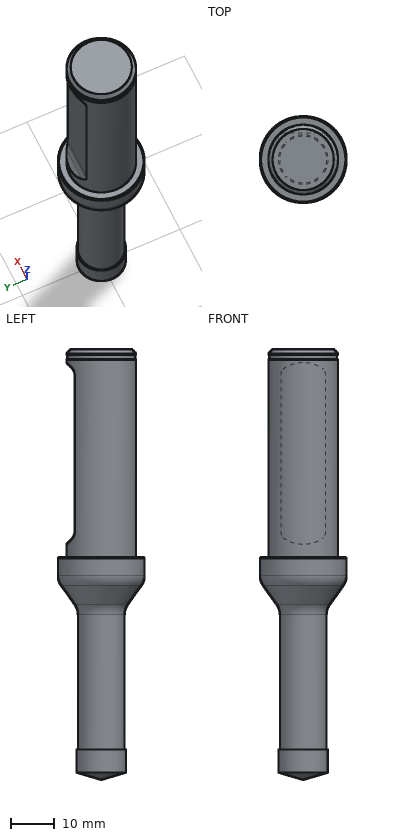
import cadquery as cq
import math

total_length = 99.0

shank_radius = 16.0 / 2
shank_chamfer = 1.0
groove_top = total_length - 1.2
groove_width = 1.3
groove_depth = 0.2

flat_depth = 1.9
flat_top = 95.9
flat_bottom = 54.2
flat_end_radius = 2.5

flange_radius = 20.0 / 2
flange_top = 51.2
flange_bottom = 46.9
flange_chamfer = 0.3

neck_radius = 10.8 / 2
neck_top = 38.0
neck_blend_radius = 4.0
flange_blend_radius = 3.8

head_radius = 11.4 / 2
head_top = 7.0
point_height = 1.7


def polar(center, radius, angle):
    """Point on a circle in the XZ plane; the angle is in radians from +X."""
    return (center[0] + radius * math.cos(angle), center[1] + radius * math.sin(angle))


def make_holder_blank():
    """Revolved holder: neck, flared blend, flange and shank."""
    lower_center = (neck_radius + neck_blend_radius, neck_top)
    upper_center = (flange_radius - flange_blend_radius, flange_bottom)
    center_dx = lower_center[0] - upper_center[0]
    center_dz = upper_center[1] - lower_center[1]
    radius_sum = neck_blend_radius + flange_blend_radius
    cone_angle = (math.asin(radius_sum / math.hypot(center_dx, center_dz))
                  - math.atan2(center_dx, center_dz))

    return (
        cq.Workplane("XZ")
        .moveTo(0, head_top)
        .lineTo(neck_radius, head_top)
        .lineTo(neck_radius, neck_top)
        .threePointArc(polar(lower_center, neck_blend_radius, math.pi - cone_angle / 2),
                       polar(lower_center, neck_blend_radius, math.pi - cone_angle))
        .lineTo(*polar(upper_center, flange_blend_radius, -cone_angle))
        .threePointArc(polar(upper_center, flange_blend_radius, -cone_angle / 2),
                       (flange_radius, flange_bottom))
        .lineTo(flange_radius, flange_top - flange_chamfer)
        .lineTo(flange_radius - flange_chamfer, flange_top)
        .lineTo(shank_radius, flange_top)
        .lineTo(shank_radius, groove_top - groove_width)
        .lineTo(shank_radius - groove_depth, groove_top - groove_width + groove_depth)
        .lineTo(shank_radius - groove_depth, groove_top - groove_depth)
        .lineTo(shank_radius, groove_top)
        .lineTo(shank_radius, total_length - shank_chamfer)
        .lineTo(shank_radius - shank_chamfer, total_length)
        .lineTo(0, total_length)
        .close()
        .revolve(360, (0, 0), (0, 1))
    )


def make_flat_cutter():
    """Prism that cuts the clamping flat, with 45 degree ends rounded into its floor."""
    floor_y = shank_radius - flat_depth
    return (
        cq.Workplane("YZ")
        .moveTo(shank_radius, flat_bottom)
        .lineTo(floor_y, flat_bottom + flat_depth)
        .lineTo(floor_y, flat_top - flat_depth)
        .lineTo(shank_radius, flat_top)
        .close()
        .extrude(shank_radius, both=True)
        .edges("|X and <Y")
        .fillet(flat_end_radius)
    )


def make_drill_head():
    """Cylindrical cutting head with a shallow conical point at Z = 0."""
    return (
        cq.Workplane("XZ")
        .moveTo(0, 0)
        .lineTo(head_radius, point_height)
        .lineTo(head_radius, head_top)
        .lineTo(0, head_top)
        .close()
        .revolve(360, (0, 0), (0, 1))
    )


holder = make_holder_blank().cut(make_flat_cutter())
drill_head = make_drill_head()

result = cq.Compound.makeCompound([holder.val(), drill_head.val()])